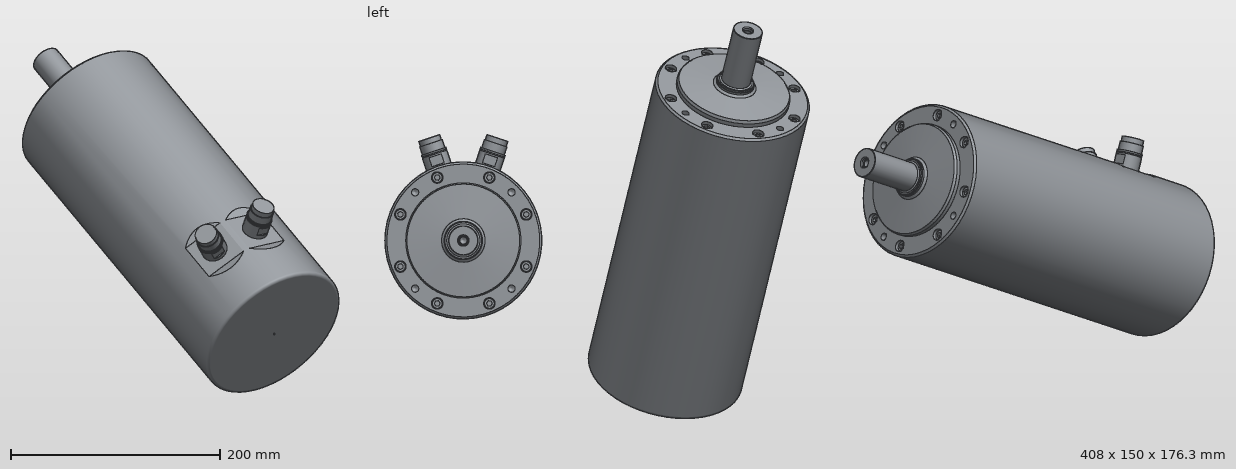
import cadquery as cq
import math


BODY_DIA = 150.0
BODY_LENGTH = 332.5
FRONT_CHAMFER = 2.0
REAR_FILLET = 3.3
REAR_NUB_DIA = 1.5
REAR_NUB_HEIGHT = 1.0

PILOT_DIA = 110.0
PILOT_HEIGHT = 7.0
PILOT_LEAD_LENGTH = 3.0
PILOT_LEAD_DEPTH = 1.2
CONE_TOP_DIA = 41.5
CONE_TOP_HEIGHT = 9.5

SEAL_BASE_DIA = 36.7
SEAL_BASE_HEIGHT = 11.5
SEAL_RING_DIA = 35.0
SEAL_RING_BASE_HEIGHT = 13.5
SEAL_RING_HEIGHT = 15.0
SEAL_LIP_DIA = 32.0
SEAL_LIP_HEIGHT = 16.0

SHAFT_DIA = 28.0
SHAFT_LENGTH = 74.5
SHAFT_CHAMFER = 0.5

CENTRE_MOUTH_DIA = 11.0
CENTRE_BORE_DIA = 9.0
CENTRE_BORE_DEPTH = 3.3
CENTRE_CORE_DIA = 7.0
CENTRE_CORE_DEPTH = 16.5
DRILL_POINT_ANGLE = 118.0

BOLT_CIRCLE_DIA = 130.0
SCREW_COUNT = 8
COUNTERBORE_DIA = 11.0
COUNTERBORE_DEPTH = 8.0
SCREW_HEAD_DIA = 10.0
SCREW_HEAD_SINK = 3.0
SCREW_HEAD_CHAMFER = 0.5
SOCKET_WIDTH = 5.0
SOCKET_DEPTH = 3.0
PLAIN_HOLE_COUNT = 4
PLAIN_HOLE_DIA = 7.0
PLAIN_HOLE_DEPTH = 16.5
PLAIN_HOLE_START = 45.0

PLUG_X = 262.5
PLUG_TILT = 18.4
SEAT_LENGTH = 42.0
SEAT_WIDTH = 41.2
SEAT_RAMP_RUN = 8.5

PLUG_TOP_RADIUS = 103.2
CAP_DIA = 21.2
CAP_LENGTH = 5.5
SLEEVE_DIA = 23.0
SLEEVE_LENGTH = 8.0
COLLAR_DIA = 25.0
COLLAR_LENGTH = 1.5
GROOVE_DIA = 23.0
GROOVE_LENGTH = 1.2
RIM_LENGTH = 1.5
FLAT_SPACING = 21.5
FLAT_LENGTH = 9.0

body_radius = BODY_DIA / 2
seat_radius = math.sqrt(body_radius**2 - (SEAT_WIDTH / 2)**2)
seat_depth = body_radius - seat_radius
screw_start = 180 / SCREW_COUNT


def revolve_about_x(profile):
    """Turn a closed (x, radius) outline about the X axis."""
    return cq.Workplane("XY").polyline(profile).close().revolve(360, (0, 0, 0), (1, 0, 0))


def turned_body():
    """Flanged barrel with a rounded rear edge and a small nub on the rear face."""
    barrel = (
        cq.Workplane("YZ").circle(body_radius).extrude(BODY_LENGTH)
        .faces("<X").chamfer(FRONT_CHAMFER)
        .faces(">X").edges().fillet(REAR_FILLET)
    )
    nub = cq.Workplane("YZ", origin=(BODY_LENGTH, 0, 0)).circle(REAR_NUB_DIA / 2).extrude(REAR_NUB_HEIGHT)
    return barrel.union(nub)


def turned_front_end():
    """Pilot, cone, seal collar and shaft in front of the flange."""
    return revolve_about_x([
        (0, 0),
        (0, PILOT_DIA / 2),
        (PILOT_LEAD_LENGTH - PILOT_HEIGHT, PILOT_DIA / 2),
        (-PILOT_HEIGHT, PILOT_DIA / 2 - PILOT_LEAD_DEPTH),
        (-CONE_TOP_HEIGHT, CONE_TOP_DIA / 2),
        (-SEAL_BASE_HEIGHT, SEAL_BASE_DIA / 2),
        (-SEAL_RING_BASE_HEIGHT, SEAL_BASE_DIA / 2),
        (-SEAL_RING_BASE_HEIGHT, SEAL_RING_DIA / 2),
        (-SEAL_RING_HEIGHT, SEAL_RING_DIA / 2),
        (-SEAL_RING_HEIGHT, SEAL_LIP_DIA / 2),
        (-SEAL_LIP_HEIGHT, SHAFT_DIA / 2),
        (SHAFT_CHAMFER - SHAFT_LENGTH, SHAFT_DIA / 2),
        (-SHAFT_LENGTH, SHAFT_DIA / 2 - SHAFT_CHAMFER),
        (-SHAFT_LENGTH, 0),
    ])


def drill_tip(dia):
    """Length of the conical end left by a drill."""
    return dia / 2 / math.tan(math.radians(DRILL_POINT_ANGLE / 2))


def plain_hole():
    """Cutter for a blind drilled hole that starts at X = 0."""
    radius = PLAIN_HOLE_DIA / 2
    return revolve_about_x([
        (0, 0),
        (0, radius),
        (PLAIN_HOLE_DEPTH, radius),
        (PLAIN_HOLE_DEPTH + drill_tip(PLAIN_HOLE_DIA), 0),
    ])


def centre_hole():
    """Cutter for the blind shaft hole with a chamfered mouth and a wider bore, starting at X = 0."""
    mouth_chamfer = (CENTRE_MOUTH_DIA - CENTRE_BORE_DIA) / 2
    return revolve_about_x([
        (0, 0),
        (0, CENTRE_MOUTH_DIA / 2),
        (mouth_chamfer, CENTRE_BORE_DIA / 2),
        (CENTRE_BORE_DEPTH, CENTRE_BORE_DIA / 2),
        (CENTRE_BORE_DEPTH, CENTRE_CORE_DIA / 2),
        (CENTRE_CORE_DEPTH, CENTRE_CORE_DIA / 2),
        (CENTRE_CORE_DEPTH + drill_tip(CENTRE_CORE_DIA), 0),
    ])


def screw_recess():
    """Cutter for a counterbore that leaves a sunk screw head with a hexagon socket standing in it."""
    counterbore = cq.Workplane("YZ").circle(COUNTERBORE_DIA / 2).extrude(COUNTERBORE_DEPTH)
    head = (
        cq.Workplane("YZ", origin=(SCREW_HEAD_SINK, 0, 0))
        .circle(SCREW_HEAD_DIA / 2)
        .extrude(COUNTERBORE_DEPTH - SCREW_HEAD_SINK)
        .faces("<X").chamfer(SCREW_HEAD_CHAMFER)
    )
    socket_corner_dia = SOCKET_WIDTH / math.cos(math.pi / 6)
    socket = (
        cq.Workplane("YZ", origin=(SCREW_HEAD_SINK, 0, 0))
        .polygon(6, socket_corner_dia)
        .extrude(SOCKET_DEPTH)
    )
    return counterbore.cut(head.cut(socket))


def cut_bolt_circle(body, cutter, count, start_angle):
    """Cut evenly spaced copies of a cutter on the flange bolt circle."""
    first = cutter.translate((0, BOLT_CIRCLE_DIA / 2, 0))
    for i in range(count):
        body = body.cut(first.rotate((0, 0, 0), (1, 0, 0), start_angle + i * 360 / count))
    return body


def tilt(shape, side):
    """Swing an upright shape about the motor axis to one side."""
    return shape.rotate((0, 0, 0), (1, 0, 0), side * PLUG_TILT)


def plug_seat():
    """Upright cutter for a flat seat; its ramps climb past the body surface."""
    overrun = 2
    half_floor = SEAT_LENGTH / 2
    half_mouth = half_floor + overrun * SEAT_RAMP_RUN
    height = overrun * seat_depth
    return (
        cq.Workplane("XZ", origin=(PLUG_X, 0, seat_radius))
        .polyline([(-half_floor, 0), (half_floor, 0), (half_mouth, height), (-half_mouth, height)])
        .close()
        .extrude(SEAT_WIDTH, both=True)
    )


def build_plug():
    """Upright cable plug standing on the seat, with two wrench flats facing -X and +X."""
    sleeve_top = PLUG_TOP_RADIUS - CAP_LENGTH
    collar_top = sleeve_top - SLEEVE_LENGTH
    groove_top = collar_top - COLLAR_LENGTH
    rim_top = groove_top - GROOVE_LENGTH
    flat_top = rim_top - RIM_LENGTH
    plug = (
        cq.Workplane("XZ")
        .polyline([
            (0, PLUG_TOP_RADIUS),
            (CAP_DIA / 2, PLUG_TOP_RADIUS),
            (CAP_DIA / 2, sleeve_top),
            (SLEEVE_DIA / 2, sleeve_top),
            (SLEEVE_DIA / 2, collar_top),
            (COLLAR_DIA / 2, collar_top),
            (COLLAR_DIA / 2, groove_top),
            (GROOVE_DIA / 2, groove_top),
            (GROOVE_DIA / 2, rim_top),
            (COLLAR_DIA / 2, rim_top),
            (COLLAR_DIA / 2, seat_radius),
            (0, seat_radius),
        ])
        .close()
        .revolve(360, (0, 0, 0), (0, 1, 0))
    )
    flat_cutter = cq.Workplane("XY").box(COLLAR_DIA / 2, COLLAR_DIA, FLAT_LENGTH)
    cutter_x = FLAT_SPACING / 2 + COLLAR_DIA / 4
    for side in (-1, 1):
        plug = plug.cut(flat_cutter.translate((side * cutter_x, 0, flat_top - FLAT_LENGTH / 2)))
    return plug.translate((PLUG_X, 0, 0))


def build_motor():
    """Motor with screw recesses, flange holes, shaft centre hole and the two plug seats."""
    motor = turned_body().union(turned_front_end())
    motor = cut_bolt_circle(motor, screw_recess(), SCREW_COUNT, screw_start)
    motor = cut_bolt_circle(motor, plain_hole(), PLAIN_HOLE_COUNT, PLAIN_HOLE_START)
    motor = motor.cut(centre_hole().translate((-SHAFT_LENGTH, 0, 0)))
    for side in (-1, 1):
        motor = motor.cut(tilt(plug_seat(), side))
    return motor


motor = build_motor()
plugs = [tilt(build_plug(), side) for side in (-1, 1)]

result = cq.Compound.makeCompound([motor.val(), *[plug.val() for plug in plugs]])